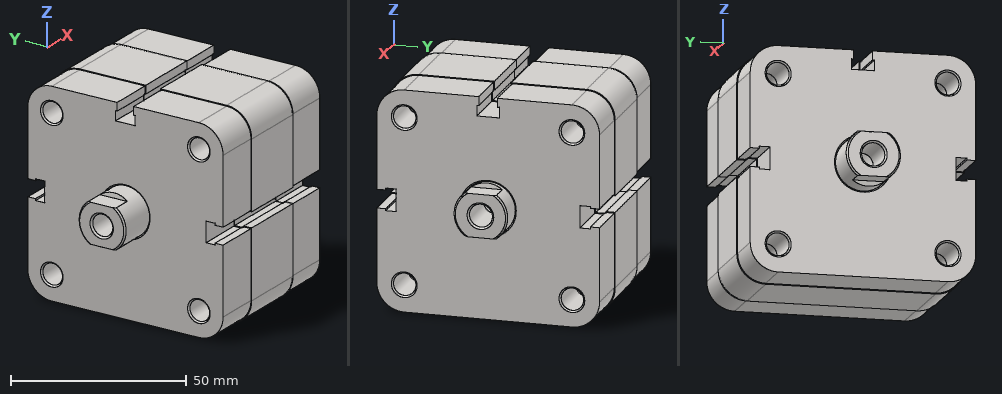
import cadquery as cq
import math

ROD_LENGTH = 71.0
REAR_STUB = 7.6
CAP_LENGTH = 14.6
TUBE_LENGTH = 21.7
REAR_FACE_X = ROD_LENGTH / 2 - REAR_STUB
TUBE_END_X = REAR_FACE_X - CAP_LENGTH
TUBE_START_X = TUBE_END_X - TUBE_LENGTH
FRONT_FACE_X = TUBE_START_X - CAP_LENGTH

TUBE_WIDTH = 67.0
CAP_INSET = 0.3
HOLE_OFFSET = 25.0

NECK_HALF = 2.5
SLOT_HALF = 3.05
SLOT_FLOOR = 27.7
LIP_LEVEL = 30.8
SLOT_ANGLES = (0, 90, -90)

TIE_HOLE_DIAMETER = 6.7
TIE_HOLE_CHAMFER = 0.5

ROD_DIAMETER = 16.0
ROD_CHAMFER = 0.5
BORE_CHAMFER = 0.4
FLAT_WIDTH = 13.0
FLAT_LENGTH = 6.2
SHOULDER_RUN = 0.35
SOCKET_DIAMETER = 6.8
SOCKET_CHAMFER = 0.6
SOCKET_DEPTH = 14.2
DRILL_TIP_ANGLE = 118.0


def slot_cutter(inset, start_x, length):
    """T-slot of the +Z face: a narrow neck over a wide part."""
    neck = NECK_HALF + inset
    wide = SLOT_HALF + inset
    lip = LIP_LEVEL - inset
    floor = SLOT_FLOOR - inset
    top = TUBE_WIDTH / 2
    return (
        cq.Workplane("YZ", origin=(start_x, 0, 0))
        .polyline([
            (-neck, top), (-neck, lip), (-wide, lip), (-wide, floor),
            (wide, floor), (wide, lip), (neck, lip), (neck, top),
        ])
        .close()
        .extrude(length)
    )


def profile_block(inset, start_x, length):
    """Rounded square block with three T-slots and four tie holes."""
    half_width = TUBE_WIDTH / 2 - inset
    block = (
        cq.Workplane("YZ", origin=(start_x, 0, 0))
        .rect(2 * half_width, 2 * half_width)
        .extrude(length)
        .edges("|X")
        .fillet(half_width - HOLE_OFFSET)
    )
    slot = slot_cutter(inset, start_x, length)
    for angle in SLOT_ANGLES:
        block = block.cut(slot.rotate((0, 0, 0), (1, 0, 0), angle))
    tie_holes = (
        cq.Workplane("YZ", origin=(start_x, 0, 0))
        .rect(2 * HOLE_OFFSET, 2 * HOLE_OFFSET, forConstruction=True)
        .vertices()
        .circle(TIE_HOLE_DIAMETER / 2)
        .extrude(length)
    )
    rod_bore = (
        cq.Workplane("YZ", origin=(start_x, 0, 0))
        .circle(ROD_DIAMETER / 2)
        .extrude(length)
    )
    return block.cut(tie_holes).cut(rod_bore)


def countersink(face_x, inward, y, z, diameter, chamfer):
    """45-degree cone that chamfers a hole; inward is the X direction into the material."""
    return cq.Workplane(cq.Solid.makeCone(
        diameter / 2 + chamfer, diameter / 2, chamfer,
        pnt=cq.Vector(face_x, y, z), dir=cq.Vector(inward, 0, 0),
    ))


def make_cap(start_x, outer_x, inward):
    """End cap with chamfered holes in its outer face."""
    cap = profile_block(CAP_INSET, start_x, CAP_LENGTH)
    for y in (-HOLE_OFFSET, HOLE_OFFSET):
        for z in (-HOLE_OFFSET, HOLE_OFFSET):
            cap = cap.cut(countersink(outer_x, inward, y, z, TIE_HOLE_DIAMETER, TIE_HOLE_CHAMFER))
    return cap.cut(countersink(outer_x, inward, 0, 0, ROD_DIAMETER, BORE_CHAMFER))


def flat_cutter(end_x, inward, side):
    """Prism that cuts one wrench flat, with a sloping shoulder at its inner end."""
    outer_z = side * ROD_DIAMETER / 2
    flat_z = side * FLAT_WIDTH / 2
    return (
        cq.Workplane("XZ")
        .polyline([
            (end_x, outer_z),
            (end_x, flat_z),
            (end_x + inward * FLAT_LENGTH, flat_z),
            (end_x + inward * (FLAT_LENGTH + SHOULDER_RUN), outer_z),
        ])
        .close()
        .extrude(ROD_DIAMETER / 2, both=True)
    )


def socket_cutter(end_x, inward):
    """Blind drilled hole with a conical bottom and a chamfered mouth."""
    radius = SOCKET_DIAMETER / 2
    tip_length = radius / math.tan(math.radians(DRILL_TIP_ANGLE / 2))
    tip_x = SOCKET_DEPTH + tip_length
    return (
        cq.Workplane("XY")
        .polyline([
            (end_x, 0),
            (end_x, radius + SOCKET_CHAMFER),
            (end_x + inward * SOCKET_CHAMFER, radius),
            (end_x + inward * SOCKET_DEPTH, radius),
            (end_x + inward * tip_x, 0),
        ])
        .close()
        .revolve(360, (0, 0, 0), (1, 0, 0))
    )


def make_rod():
    """Through rod with wrench flats and a socket at both ends."""
    rod = (
        cq.Workplane("YZ", origin=(-ROD_LENGTH / 2, 0, 0))
        .circle(ROD_DIAMETER / 2)
        .extrude(ROD_LENGTH)
        .edges("<X or >X")
        .chamfer(ROD_CHAMFER)
    )
    for end_x, inward in ((-ROD_LENGTH / 2, 1), (ROD_LENGTH / 2, -1)):
        for side in (-1, 1):
            rod = rod.cut(flat_cutter(end_x, inward, side))
        rod = rod.cut(socket_cutter(end_x, inward))
    return rod


tube = profile_block(0, TUBE_START_X, TUBE_LENGTH)
front_cap = make_cap(FRONT_FACE_X, FRONT_FACE_X, 1)
rear_cap = make_cap(TUBE_END_X, REAR_FACE_X, -1)
rod = make_rod()

result = cq.Compound.makeCompound([front_cap.val(), tube.val(), rear_cap.val(), rod.val()])